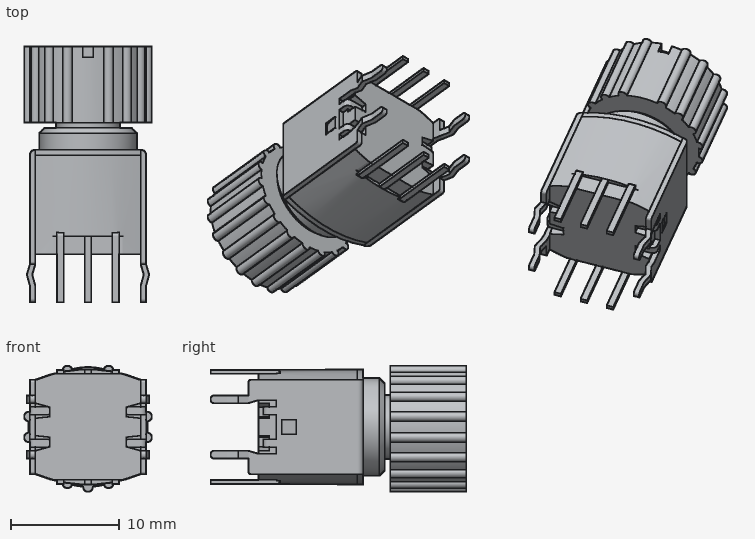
import cadquery as cq
import math


SHEET = 0.52
BEND_RADIUS = 0.5
BRACKET_WIDTH = 10.7
BRACKET_HALF_HEIGHT = 4.35
INNER_HALF_WIDTH = BRACKET_WIDTH / 2 - SHEET
SIDE_LENGTH = 10.53
SIDE_CORNER_RADIUS = 0.25

PIN_PITCH = 2.54
PIN_END = 14.0
LUG_HEIGHT = 0.73
LUG_TIP_RADIUS = 0.33
KINK_OFFSET = 0.28
KINK_PEAK = 11.47
KINK_END = 12.48
NOTCH_HALF_HEIGHT = 2.45
NOTCH_START = 8.0
NOTCH_FLARE_START = 9.64
TAB_PITCH = 1.48
TAB_HEIGHT = 0.73
TAB_BACK = 8.62
TAB_REACH = 1.85
TAB_CORNER_RADIUS = 0.19

WINDOW_FRONT = 6.13
WINDOW_SIZE = 1.32
RAMP_DROP = 0.19

HOUSING_END = 9.6
ARCH_APEX_FRONT = 5.3
DRAFT_DROP = 0.05
BUSHING_DIAMETER = 9.0
BUSHING_LENGTH = 2.0
BUSHING_CHAMFER = 0.5
RECESS_START = 7.95
RECESS_FLOOR = 4.86
PIN_WIDTH = 0.63
PIN_THICKNESS = 0.38
PIN_START = 7.6
PIN_BEND_RADIUS = 0.33
SLOT_MOUTH = (0.8, 2.19)
SLOT_BOTTOM = (0.95, 1.8)

PLUNGER_DIAMETER = 5.9
PLUNGER_GAP = 0.5
KNOB_DIAMETER = 11.02
KNOB_LENGTH = 7.0
RIDGE_RADIUS = 0.45
RIDGE_PITCHES = 18
POINTER_ANGLE = 90
POINTER_SIZE = 0.99

KNOB_BACK = BUSHING_LENGTH + PLUNGER_GAP
KNOB_FRONT = KNOB_BACK + KNOB_LENGTH


def box(x_range, y_range, z_range):
    """Box between the given limits along each axis."""
    (x0, x1), (y0, y1), (z0, z1) = x_range, y_range, z_range
    return cq.Workplane("XY").box(x1 - x0, y1 - y0, z1 - z0, centered=False).translate((x0, y0, z0))


def disc(diameter, y_start, y_end):
    """Cylinder on the Y axis."""
    return cq.Workplane("XZ", origin=(0, y_start, 0)).circle(diameter / 2).extrude(y_start - y_end)


def arched_outline(y, drop):
    """Block outline with arched top and bottom, lowered by drop at both."""
    shoulder = BRACKET_HALF_HEIGHT - drop
    apex = ARCH_APEX_FRONT - drop
    return (
        cq.Workplane("XZ", origin=(0, y, 0))
        .moveTo(-INNER_HALF_WIDTH, -shoulder)
        .threePointArc((0, -apex), (INNER_HALF_WIDTH, -shoulder))
        .lineTo(INNER_HALF_WIDTH, shoulder)
        .threePointArc((0, apex), (-INNER_HALF_WIDTH, shoulder))
        .close()
    )


def on_both_sides(shape):
    """A shape on the -X side together with its mirror image."""
    return shape.union(shape.mirror("YZ"))



def bracket_side_plate():
    """Flat -X side of the bracket, with rear notch and snap window."""
    x_range = (-BRACKET_WIDTH / 2, -INNER_HALF_WIDTH)
    plate = box(x_range, (-SIDE_LENGTH, 0), (-BRACKET_HALF_HEIGHT, BRACKET_HALF_HEIGHT))
    plate = plate.edges("|X and <Y").fillet(SIDE_CORNER_RADIUS)
    plate = plate.edges("|Z and >Y and <X").fillet(BEND_RADIUS)
    lug_inner_edge = PIN_PITCH - LUG_HEIGHT / 2
    notch = (
        cq.Workplane("YZ", origin=(-BRACKET_WIDTH / 2, 0, 0))
        .moveTo(-NOTCH_START, -NOTCH_HALF_HEIGHT)
        .lineTo(-NOTCH_FLARE_START, -NOTCH_HALF_HEIGHT)
        .lineTo(-SIDE_LENGTH, -lug_inner_edge)
        .lineTo(-SIDE_LENGTH, lug_inner_edge)
        .lineTo(-NOTCH_FLARE_START, NOTCH_HALF_HEIGHT)
        .lineTo(-NOTCH_START, NOTCH_HALF_HEIGHT)
        .close()
        .extrude(SHEET)
    )
    half = WINDOW_SIZE / 2
    window = box(x_range, (-WINDOW_FRONT - WINDOW_SIZE, -WINDOW_FRONT), (-half, half))
    return plate.cut(notch).cut(window)


def bracket_lug(z_centre):
    """Kinked mounting lug at the rear of the -X side."""
    outer = -BRACKET_WIDTH / 2
    inner = -INNER_HALF_WIDTH
    lug = (
        cq.Workplane("XY", origin=(0, 0, z_centre - LUG_HEIGHT / 2))
        .moveTo(outer, -SIDE_LENGTH)
        .lineTo(outer - KINK_OFFSET, -KINK_PEAK)
        .lineTo(outer, -KINK_END)
        .lineTo(outer, -PIN_END)
        .lineTo(inner, -PIN_END)
        .lineTo(inner, -KINK_END)
        .lineTo(inner - KINK_OFFSET, -KINK_PEAK)
        .lineTo(inner, -SIDE_LENGTH)
        .close()
        .extrude(LUG_HEIGHT)
    )
    return lug.edges("|X and <Y").fillet(LUG_TIP_RADIUS)


def bracket_tab(z_centre):
    """Tab on the -X side that folds inward into a housing slot."""
    outer = -BRACKET_WIDTH / 2
    z_range = (z_centre - TAB_HEIGHT / 2, z_centre + TAB_HEIGHT / 2)
    y_rear = -TAB_BACK - SHEET
    strip = box((outer, -INNER_HALF_WIDTH), (y_rear, -NOTCH_START), z_range)
    strip = strip.edges("|Z and <X and <Y").fillet(BEND_RADIUS)
    finger = box((-INNER_HALF_WIDTH, outer + TAB_REACH), (y_rear, -TAB_BACK), z_range)
    finger = finger.edges("|Y and >X").fillet(TAB_CORNER_RADIUS)
    return strip.union(finger)


def make_bracket():
    front_plate = arched_outline(0, 0).extrude(SHEET)
    side = bracket_side_plate()
    for sign in (-1, 1):
        side = side.union(bracket_lug(sign * PIN_PITCH))
        side = side.union(bracket_tab(sign * TAB_PITCH))
    bracket = front_plate.union(on_both_sides(side))
    return bracket.cut(disc(BUSHING_DIAMETER, -SHEET, 0))



def housing_block():
    """Arched block behind the front plate, tapering slightly toward the rear."""
    front = arched_outline(-SHEET, 0).wires().val()
    rear = arched_outline(-HOUSING_END, DRAFT_DROP).wires().val()
    return cq.Workplane(cq.Solid.makeLoft([front, rear], True))


def terminal_recess(sign):
    """Flat cut across the crown of the upper (+1) or lower (-1) arch, open to the rear."""
    z_range = sorted((sign * RECESS_FLOOR, sign * ARCH_APEX_FRONT))
    return box((-INNER_HALF_WIDTH, INNER_HALF_WIDTH), (-HOUSING_END, -RECESS_START), z_range)


def terminal(x_centre, sign):
    """Flat pin lying on a recess floor, its buried end rounded on the outside."""
    z_range = (RECESS_FLOOR, RECESS_FLOOR + PIN_THICKNESS)
    pin = box((x_centre - PIN_WIDTH / 2, x_centre + PIN_WIDTH / 2), (-PIN_END, -PIN_START), z_range)
    pin = pin.edges("|X and >Y and >Z").fillet(PIN_BEND_RADIUS)
    return pin if sign > 0 else pin.mirror("XY")


def tab_slot():
    """Tapered slot on the -X, +Z side, open to the rear, that receives a bracket tab."""
    x_mouth = -INNER_HALF_WIDTH
    x_bottom = -BRACKET_WIDTH / 2 + TAB_REACH
    return (
        cq.Workplane("XZ", origin=(0, -TAB_BACK, 0))
        .moveTo(x_mouth, SLOT_MOUTH[0])
        .lineTo(x_bottom, SLOT_BOTTOM[0])
        .lineTo(x_bottom, SLOT_BOTTOM[1])
        .lineTo(x_mouth, SLOT_MOUTH[1])
        .close()
        .extrude(HOUSING_END - TAB_BACK)
    )


def snap_ramp():
    """Wedge filling the -X bracket window, flush at its rear end."""
    outer = -BRACKET_WIDTH / 2
    return (
        cq.Workplane("XY", origin=(0, 0, -WINDOW_SIZE / 2))
        .moveTo(-INNER_HALF_WIDTH, -WINDOW_FRONT)
        .lineTo(outer + RAMP_DROP, -WINDOW_FRONT)
        .lineTo(outer, -WINDOW_FRONT - WINDOW_SIZE)
        .lineTo(-INNER_HALF_WIDTH, -WINDOW_FRONT - WINDOW_SIZE)
        .close()
        .extrude(WINDOW_SIZE)
    )


def make_housing():
    bushing = disc(BUSHING_DIAMETER, -SHEET, BUSHING_LENGTH).faces(">Y").chamfer(BUSHING_CHAMFER)
    housing = housing_block().union(bushing).union(on_both_sides(snap_ramp()))
    slots = on_both_sides(tab_slot())
    housing = housing.cut(slots).cut(slots.mirror("XY"))
    for sign in (-1, 1):
        housing = housing.cut(terminal_recess(sign))
        for column in (-1, 0, 1):
            housing = housing.union(terminal(column * PIN_PITCH, sign))
    return housing.cut(disc(PLUNGER_DIAMETER, 0, BUSHING_LENGTH))



def make_plunger():
    """Plain cylinder seated in the bushing bore and reaching the knob."""
    return disc(PLUNGER_DIAMETER, 0, KNOB_BACK)



def make_knob():
    """Ridged knob with one ridge left out for the pointer notch."""
    radius = KNOB_DIAMETER / 2
    knob = disc(KNOB_DIAMETER, KNOB_BACK, KNOB_FRONT)
    ridge = disc(2 * RIDGE_RADIUS, KNOB_BACK, KNOB_FRONT)
    for step in range(1, RIDGE_PITCHES):
        angle = math.radians(POINTER_ANGLE + step * 360 / RIDGE_PITCHES)
        knob = knob.union(ridge.translate((radius * math.cos(angle), 0, radius * math.sin(angle))))
    half = POINTER_SIZE / 2
    notch = box((-half, half), (KNOB_FRONT - POINTER_SIZE, KNOB_FRONT), (radius - POINTER_SIZE, radius))
    return knob.cut(notch)


bracket = make_bracket()
housing = make_housing()
plunger = make_plunger()
knob = make_knob()

result = cq.Compound.makeCompound([bracket.val(), housing.val(), plunger.val(), knob.val()])